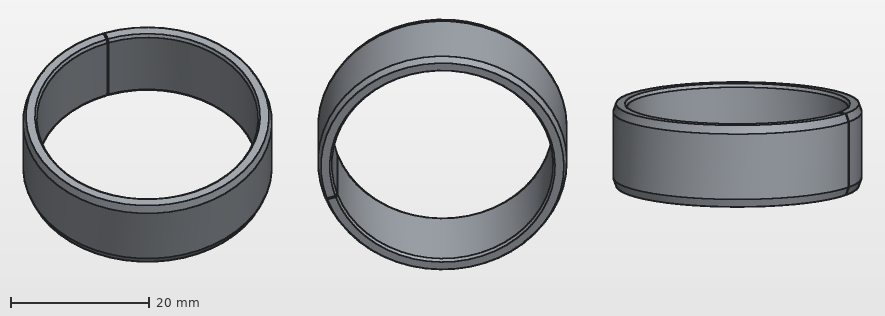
import cadquery as cq
import math

outer_diameter = 36.0
bore_diameter = 32.0
length = 12.0

outer_chamfer_length = 1.2
outer_chamfer_angle = 20.0
inner_chamfer_length = 0.5
inner_chamfer_angle = 30.0

joint_gap = 0.25

outer_radius = outer_diameter / 2
bore_radius = bore_diameter / 2
half_length = length / 2


def chamfer_depth(axial_length, angle):
    """Radial depth of a chamfer inclined at the given angle to the axis."""
    return axial_length * math.tan(math.radians(angle))


def make_ring():
    """Revolve the wall section, chamfered at all four corners, into a ring."""
    outer_end_radius = outer_radius - chamfer_depth(outer_chamfer_length, outer_chamfer_angle)
    inner_end_radius = bore_radius + chamfer_depth(inner_chamfer_length, inner_chamfer_angle)
    outer_chamfer_z = half_length - outer_chamfer_length
    inner_chamfer_z = half_length - inner_chamfer_length
    wall_section = [
        (-inner_end_radius, -half_length),
        (-outer_end_radius, -half_length),
        (-outer_radius, -outer_chamfer_z),
        (-outer_radius, outer_chamfer_z),
        (-outer_end_radius, half_length),
        (-inner_end_radius, half_length),
        (-bore_radius, inner_chamfer_z),
        (-bore_radius, -inner_chamfer_z),
    ]
    return cq.Workplane("XZ").polyline(wall_section).close().revolve(360, (0, 0), (0, 1))


def make_joint_cutter():
    """Narrow block that removes the joint gap through the wall on the -X side."""
    return cq.Workplane("XY").box(
        outer_radius, joint_gap, length, centered=(False, False, True)
    ).translate((-outer_radius, 0, 0))


result = make_ring().cut(make_joint_cutter())